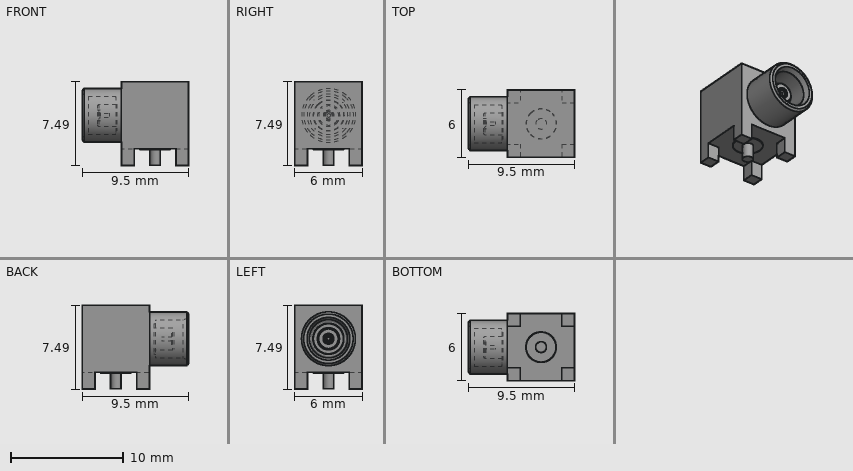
import cadquery as cq

overall_length = 9.5
block_side = 6.0
leg_side = 1.15
leg_height = 1.49
half_side = block_side / 2

shell_length = overall_length - block_side
shell_radius = 2.4
shell_chamfer = 0.2

mouth_radius = 1.91
bore_radius = 1.7
mouth_depth = 0.55
floor_depth = 3.0
floor_fillet = 0.12
recess_radius = 1.39
recess_floor_radius = 1.34
recess_depth = 0.095

boss_radius = 0.99
boss_chamfer = 0.11
boss_front_depth = 1.35

contact_radius = 0.475
contact_chamfer = 0.095
contact_setback = 0.1
contact_cone_radius = 0.3
contact_bore_radius = 0.16
contact_cone_depth = 0.14
contact_bore_depth = 0.95

pad_radius = 1.36
pad_tip_radius = 1.33
pad_height = 0.06
pin_radius = 0.48
pin_foot_clearance = 0.04


def revolve_about_x(points):
    """Revolve (distance from front rim, radius) points about the shell axis."""
    front = -half_side - shell_length
    profile = [(front + depth, radius) for depth, radius in points]
    return cq.Workplane("XY").polyline(profile).close().revolve(360, (0, 0, 0), (1, 0, 0))


def make_block():
    height = block_side + leg_height
    block = cq.Workplane("XY").box(block_side, block_side, height)
    block = block.translate((0, 0, -leg_height / 2))
    gap = block_side - 2 * leg_side
    notch = cq.Workplane("XY").workplane(offset=-half_side - leg_height)
    across_x = notch.rect(block_side, gap).extrude(leg_height)
    across_y = notch.rect(gap, block_side).extrude(leg_height)
    return block.cut(across_x).cut(across_y)


def make_shell():
    return revolve_about_x([
        (0, 0),
        (0, shell_radius - shell_chamfer),
        (shell_chamfer, shell_radius),
        (shell_length, shell_radius),
        (shell_length, 0),
    ])


def make_socket():
    """Space inside the shell, leaving the boss standing in its centre."""
    recess_floor = floor_depth + recess_depth
    bore = revolve_about_x([
        (0, 0),
        (0, mouth_radius),
        (mouth_depth, bore_radius),
        (floor_depth, bore_radius),
        (floor_depth, 0),
    ])
    bore = bore.faces(">X").edges().fillet(floor_fillet)
    recess = revolve_about_x([
        (floor_depth, 0),
        (floor_depth, recess_radius),
        (recess_floor, recess_floor_radius),
        (recess_floor, 0),
    ])
    boss = revolve_about_x([
        (recess_floor, 0),
        (recess_floor, boss_radius),
        (boss_front_depth + boss_chamfer, boss_radius),
        (boss_front_depth, boss_radius - boss_chamfer),
        (boss_front_depth, 0),
    ])
    return bore.union(recess).cut(boss)


def make_contact_hole():
    """Space around and inside the tip of the contact tube."""
    tip = boss_front_depth + contact_setback
    return revolve_about_x([
        (boss_front_depth, 0),
        (boss_front_depth, contact_radius),
        (tip + contact_chamfer, contact_radius),
        (tip, contact_radius - contact_chamfer),
        (tip, contact_cone_radius),
        (tip + contact_cone_depth, contact_bore_radius),
        (tip + contact_bore_depth, contact_bore_radius),
        (tip + contact_bore_depth, 0),
    ])


def make_solder_pin():
    """Tapered pad with the pin, revolved about the vertical axis."""
    pad_bottom = -half_side - pad_height
    pin_bottom = -half_side - leg_height + pin_foot_clearance
    profile = [
        (0, -half_side),
        (pad_radius, -half_side),
        (pad_tip_radius, pad_bottom),
        (pin_radius, pad_bottom),
        (pin_radius, pin_bottom),
        (0, pin_bottom),
    ]
    return cq.Workplane("XZ").polyline(profile).close().revolve(360, (0, 0, 0), (0, 1, 0))


body = make_block().union(make_shell())
body = body.cut(make_socket()).cut(make_contact_hole())
result = body.union(make_solder_pin())